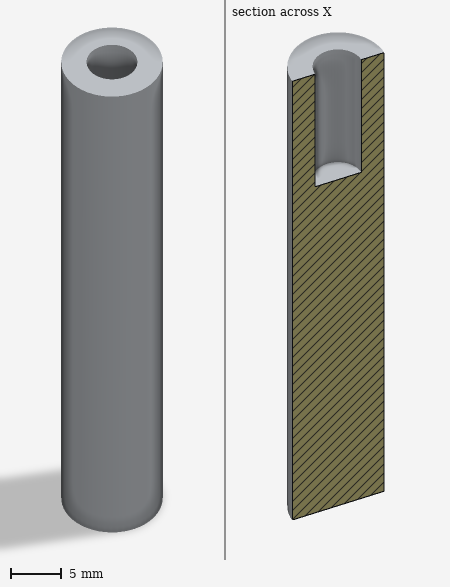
import cadquery as cq

length = 58.5
outer_diameter = 10.0
hole_diameter = outer_diameter / 2
hole_depth = 1.5 * outer_diameter

body = cq.Workplane("XY").circle(outer_diameter / 2).extrude(length)

result = body.faces(">Z").workplane().hole(hole_diameter, hole_depth)